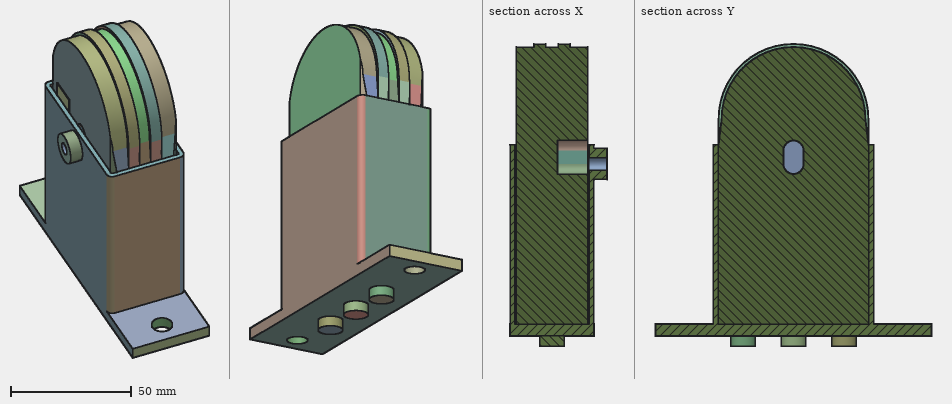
import cadquery as cq

PLATE_LENGTH = 115.0
PLATE_DEPTH = 35.0
PLATE_THICKNESS = 5.0
MOUNT_HOLE_SPACING = 96.6
MOUNT_HOLE_DIAMETER = 8.7

SLEEVE_WIDTH = 66.9
SLEEVE_TOP = 79.8
SLEEVE_WALL = 2.1
SLEEVE_CORNER_RADIUS = 2.5
CAVITY_WIDTH = SLEEVE_WIDTH - 2 * SLEEVE_WALL
CAVITY_DEPTH = PLATE_DEPTH - 2 * SLEEVE_WALL
CAVITY_CORNER_RADIUS = SLEEVE_CORNER_RADIUS - SLEEVE_WALL

BOSS_DIAMETER = 13.1
BOSS_LENGTH = 5.4
BOSS_HOLE_DIAMETER = 5.0
BOSS_HEIGHT = 71.7

FOOT_DIAMETER = 10.3
FOOT_LENGTH = 4.3
FOOT_PITCH = 21.0
FOOT_COUNT = 3

OVERALL_HEIGHT = 126.0
BLOCK_TOP = OVERALL_HEIGHT - FOOT_LENGTH
BLOCK_WIDTH = 62.5
BLOCK_DEPTH = 30.0
BLOCK_CORNER_CHAMFER = 2.0
RIB_RADIUS = BLOCK_WIDTH / 2
RIB_HEIGHT = 1.3
RIB_WIDTH = 5.0
RIB_OFFSET = 5.0
ARC_CENTRE_HEIGHT = BLOCK_TOP - RIB_RADIUS
DOME_RADIUS = RIB_RADIUS - RIB_HEIGHT

SLOT_WIDTH = 8.3
SLOT_TOP_CENTRE = 77.2
SLOT_DEPTH = 12.6
RECESS_WIDTH = 12.2
RECESS_HEIGHT = RECESS_WIDTH
RECESS_TOP = 85.5
RECESS_CENTRE_X = -19.0
RECESS_DEPTH = 0.3


def make_housing():
    plate = cq.Workplane("XY").box(PLATE_LENGTH, PLATE_DEPTH, PLATE_THICKNESS, centered=(True, True, False))
    sleeve = (
        cq.Workplane("XY")
        .box(SLEEVE_WIDTH, PLATE_DEPTH, SLEEVE_TOP, centered=(True, True, False))
        .edges("|Z")
        .fillet(SLEEVE_CORNER_RADIUS)
    )
    cavity = (
        cq.Workplane("XY", origin=(0, 0, PLATE_THICKNESS))
        .box(CAVITY_WIDTH, CAVITY_DEPTH, SLEEVE_TOP, centered=(True, True, False))
        .edges("|Z")
        .fillet(CAVITY_CORNER_RADIUS)
    )
    mount_holes = (
        cq.Workplane("XY")
        .pushPoints([(-MOUNT_HOLE_SPACING / 2, 0), (MOUNT_HOLE_SPACING / 2, 0)])
        .circle(MOUNT_HOLE_DIAMETER / 2)
        .extrude(PLATE_THICKNESS)
    )
    boss = (
        cq.Workplane("XZ", origin=(0, -PLATE_DEPTH / 2, BOSS_HEIGHT))
        .circle(BOSS_DIAMETER / 2)
        .extrude(BOSS_LENGTH)
    )
    boss_hole = (
        cq.Workplane("XZ", origin=(0, SLEEVE_WALL - PLATE_DEPTH / 2, BOSS_HEIGHT))
        .circle(BOSS_HOLE_DIAMETER / 2)
        .extrude(SLEEVE_WALL + BOSS_LENGTH)
    )
    housing = plate.union(sleeve).union(boss)
    return housing.cut(cavity).cut(mount_holes).cut(boss_hole)


def make_block():
    core = (
        cq.Workplane("XZ", origin=(0, BLOCK_DEPTH / 2, 0))
        .moveTo(-RIB_RADIUS, PLATE_THICKNESS)
        .lineTo(-RIB_RADIUS, SLEEVE_TOP)
        .lineTo(-DOME_RADIUS, ARC_CENTRE_HEIGHT)
        .threePointArc((0, ARC_CENTRE_HEIGHT + DOME_RADIUS), (DOME_RADIUS, ARC_CENTRE_HEIGHT))
        .lineTo(RIB_RADIUS, SLEEVE_TOP)
        .lineTo(RIB_RADIUS, PLATE_THICKNESS)
        .close()
        .extrude(BLOCK_DEPTH)
    )
    chamfered_blank = (
        cq.Workplane("XY", origin=(0, 0, PLATE_THICKNESS))
        .box(BLOCK_WIDTH, BLOCK_DEPTH, BLOCK_TOP, centered=(True, True, False))
        .edges("|Z")
        .chamfer(BLOCK_CORNER_CHAMFER)
    )
    block = core.intersect(chamfered_blank)
    for side in (-1, 1):
        rib = (
            cq.Workplane("XZ", origin=(0, side * RIB_OFFSET + RIB_WIDTH / 2, 0))
            .moveTo(-RIB_RADIUS, PLATE_THICKNESS)
            .lineTo(-RIB_RADIUS, ARC_CENTRE_HEIGHT)
            .threePointArc((0, BLOCK_TOP), (RIB_RADIUS, ARC_CENTRE_HEIGHT))
            .lineTo(RIB_RADIUS, PLATE_THICKNESS)
            .close()
            .extrude(RIB_WIDTH)
        )
        block = block.union(rib)
    slot_length = SLOT_TOP_CENTRE - BOSS_HEIGHT + SLOT_WIDTH
    slot_centre_height = (SLOT_TOP_CENTRE + BOSS_HEIGHT) / 2
    slot = (
        cq.Workplane("XZ", origin=(0, -BLOCK_DEPTH / 2, slot_centre_height))
        .slot2D(slot_length, SLOT_WIDTH, angle=90)
        .extrude(-SLOT_DEPTH)
    )
    recess = (
        cq.Workplane("XZ", origin=(RECESS_CENTRE_X, -BLOCK_DEPTH / 2, RECESS_TOP - RECESS_HEIGHT / 2))
        .rect(RECESS_WIDTH, RECESS_HEIGHT)
        .extrude(-RECESS_DEPTH)
    )
    return block.cut(slot).cut(recess)


def make_foot(x):
    return cq.Workplane("XY", origin=(x, 0, -FOOT_LENGTH)).circle(FOOT_DIAMETER / 2).extrude(FOOT_LENGTH)


housing = make_housing()
block = make_block()
feet = []
for index in range(FOOT_COUNT):
    foot_x = (index - (FOOT_COUNT - 1) / 2) * FOOT_PITCH
    feet.append(make_foot(foot_x).val())

result = cq.Compound.makeCompound([housing.val(), block.val(), *feet])